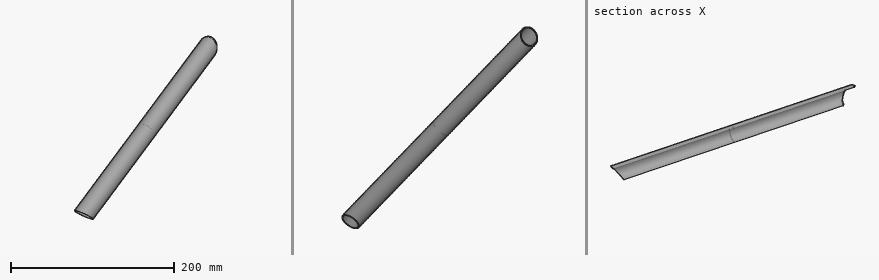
import cadquery as cq

top_length = 336.5
bottom_length = 304.0
outer_diameter = 25.0
wall = 1.5

outer_radius = outer_diameter / 2
inner_radius = outer_radius - wall


def make_tube():
    """Straight hollow tube centred on the origin, running along Y."""
    return (
        cq.Workplane("XZ")
        .circle(outer_radius)
        .circle(inner_radius)
        .extrude(top_length / 2, both=True)
    )


def make_mitre_envelope():
    """Trapezoidal prism whose sloping sides are the mitre planes."""
    return (
        cq.Workplane("YZ")
        .moveTo(-top_length / 2, outer_radius)
        .lineTo(top_length / 2, outer_radius)
        .lineTo(bottom_length / 2, -outer_radius)
        .lineTo(-bottom_length / 2, -outer_radius)
        .close()
        .extrude(outer_diameter, both=True)
    )


result = make_tube().intersect(make_mitre_envelope())